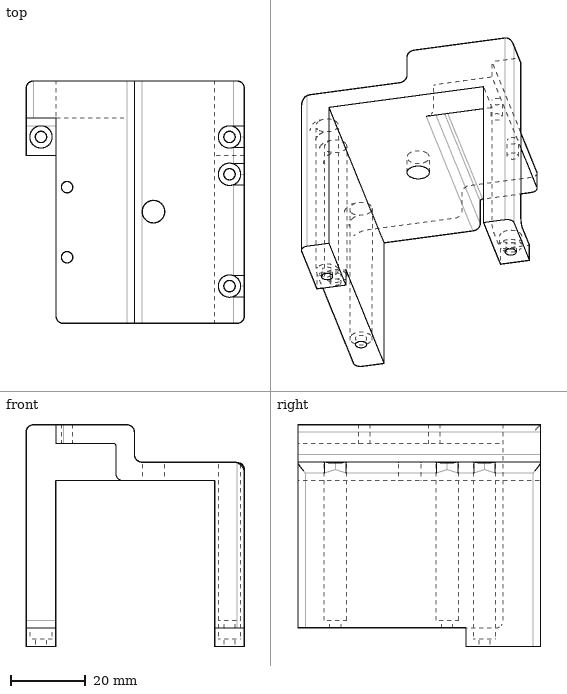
import cadquery as cq
import math

width = 58.5
depth = 65.0
height = 59.5

leg_width = 8.0
shelf_thickness = 5.0
step_drop = 10.0
step_outer_x = 29.05
step_inner_x = step_outer_x - shelf_thickness

frame_depth = 10.0
foot_length = 20.0
foot_height = 5.0

corner_radius = 2.0
top_edge_radius = 3.0
small_radius = 0.65

swell_half_length = 2.85
swell_end_radius = 2.9
swell_middle_radius = 2.0

screw_diameter = 3.0
counterbore_diameter = 6.0
head_floor = 2.0
screw_offset = leg_width / 2
foot_screw_distance = 15.0
wall_screw_distances = (25.0, 55.0)
plate_hole_x = 11.0
plate_hole_distances = (28.5, 47.25)
shelf_hole_x = 34.1
shelf_hole_distance = 35.05
shelf_hole_diameter = 6.0

shelf_top = height - step_drop
shelf_bottom = shelf_top - shelf_thickness
right_leg_x = width - leg_width


def box(x_range, y_range, z_range):
    """Axis-aligned box between the given limits."""
    size = [high - low for low, high in (x_range, y_range, z_range)]
    corner = (x_range[0], y_range[0], z_range[0])
    return cq.Workplane("XY").box(*size, centered=False).translate(corner)


def hole(x, y, diameter, bottom):
    """Upright cutting cylinder from the given height to above the part."""
    return cq.Workplane("XY", origin=(x, y, bottom)).circle(diameter / 2).extrude(height)


def counterbored_hole(body, x, y, underside):
    """Cut a screw hole whose counterbore stops a little above the given underside."""
    drilled = body.cut(hole(x, y, screw_diameter, underside - 0.65))
    return drilled.cut(hole(x, y, counterbore_diameter, underside + head_floor))


def swell_section(y, radius):
    """Cross-section of the upper right edge at one place along its length."""
    inner_x = width - top_edge_radius
    inner_z = shelf_top - top_edge_radius
    diagonal = radius * (1 - math.sqrt(0.5))
    return (
        cq.Workplane("XZ", origin=(0, y, 0))
        .moveTo(inner_x, inner_z)
        .lineTo(inner_x, shelf_top)
        .lineTo(width - radius, shelf_top)
        .threePointArc((width - diagonal, shelf_top - diagonal), (width, shelf_top - radius))
        .lineTo(width, inner_z)
        .close()
        .wires()
        .val()
    )


def edge_swell(y):
    """Stretch of the right edge that is sharpest in the middle and eases off to both ends."""
    middle = swell_section(y, swell_middle_radius)
    swell = cq.Workplane("XY")
    for end_y in (y - swell_half_length, y + swell_half_length):
        end = swell_section(end_y, swell_end_radius)
        swell = swell.union(cq.Workplane(cq.Solid.makeLoft([end, middle], True)))
    return swell


def stepped_shell():
    """Upper plate, step, lower shelf and the long right-hand wall."""
    return (
        cq.Workplane("XZ")
        .moveTo(leg_width, height)
        .lineTo(step_outer_x, height)
        .lineTo(step_outer_x, shelf_top)
        .lineTo(width, shelf_top)
        .lineTo(width, foot_height)
        .lineTo(right_leg_x, foot_height)
        .lineTo(right_leg_x, shelf_bottom)
        .lineTo(step_inner_x, shelf_bottom)
        .lineTo(step_inner_x, height - shelf_thickness)
        .lineTo(leg_width, height - shelf_thickness)
        .close()
        .extrude(-depth)
    )


def back_frame():
    """Thick frame at the rear with two legs and a step in its top."""
    frame_y = (depth - frame_depth, depth)
    upper = box((0, step_outer_x), frame_y, (shelf_bottom, height))
    left_leg = box((0, leg_width), frame_y, (0, height))
    right_leg = box((right_leg_x, width), frame_y, (0, shelf_top))
    return upper.union(left_leg).union(right_leg)


def foot(left_x):
    """Mounting foot reaching forward under a leg."""
    return box((left_x, left_x + leg_width), (depth - foot_length, depth), (0, foot_height))


def edge_at(body, direction, x=None, y=None, z=None):
    """Edges along a direction whose centres lie at the given coordinates."""
    margin = 0.05
    far = 130.0
    limits = [(-far, far) if c is None else (c - margin, c + margin) for c in (x, y, z)]
    lows = [low for low, _ in limits]
    highs = [high for _, high in limits]
    return body.edges("|" + direction).edges(cq.selectors.BoxSelector(lows, highs))


body = stepped_shell().union(back_frame()).union(foot(0)).union(foot(right_leg_x)).clean()

body = edge_at(body, "X", x=leg_width / 2, y=depth - frame_depth, z=foot_height).fillet(corner_radius)

body = edge_at(body, "Y", x=step_outer_x, z=height).fillet(corner_radius)
body = edge_at(body, "Y", x=step_outer_x, z=shelf_top).fillet(corner_radius)
body = edge_at(body, "Y", x=step_inner_x, z=shelf_bottom).fillet(corner_radius)
body = edge_at(body, "Y", x=step_inner_x, z=height - shelf_thickness).fillet(small_radius)

body = edge_at(body, "Z", x=leg_width, y=0).fillet(corner_radius)
body = edge_at(body, "Y", x=0, z=height).fillet(corner_radius)
body = edge_at(body, "Y", x=width, z=shelf_top).fillet(top_edge_radius)

for distance in (foot_screw_distance, *wall_screw_distances):
    body = body.union(edge_swell(depth - distance))

rounded_block = box((0, width), (0, depth), (0, height)).edges("|Z").fillet(corner_radius)
body = body.intersect(rounded_block)

for x in (screw_offset, width - screw_offset):
    body = counterbored_hole(body, x, depth - foot_screw_distance, 0)
for distance in wall_screw_distances:
    body = counterbored_hole(body, width - screw_offset, depth - distance, foot_height)

for distance in plate_hole_distances:
    body = body.cut(hole(plate_hole_x, depth - distance, screw_diameter, shelf_bottom))
body = body.cut(hole(shelf_hole_x, depth - shelf_hole_distance, shelf_hole_diameter, 0))

result = body